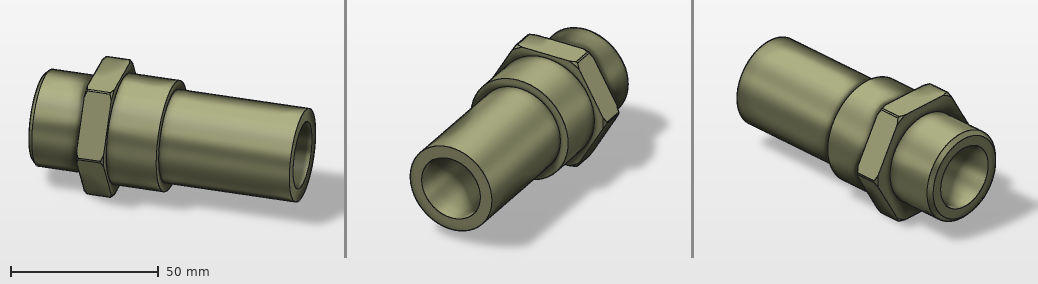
import cadquery as cq
import math

total_length = 92.0
hex_start = 18.95
hex_width = 9.5
collar_end = 46.0
hex_end = hex_start + hex_width

thread_diameter = 33.2
collar_diameter = 38.1
tube_diameter = 32.0
bore_diameter = 23.0
thread_chamfer = 1.5

hex_across_flats = 41.0
hex_corner_diameter = 47.0
hex_chamfer_length = 0.7
hex_chamfer_depth = 1.0


def cylinder(diameter, start, end):
    """Cylinder along X between two axial stations."""
    return cq.Workplane("YZ", origin=(start, 0, 0)).circle(diameter / 2).extrude(end - start)


def hexagon():
    """Wrench hexagon with conical chamfers trimming both ends of its corners."""
    across_corners = hex_across_flats / math.cos(math.pi / 6)
    prism = cq.Workplane("YZ", origin=(hex_start, 0, 0)).polygon(6, across_corners).extrude(hex_width)
    corner_radius = hex_corner_diameter / 2
    face_radius = corner_radius - hex_chamfer_depth
    turned_envelope = (
        cq.Workplane("XY")
        .moveTo(hex_start, 0)
        .lineTo(hex_start, face_radius)
        .lineTo(hex_start + hex_chamfer_length, corner_radius)
        .lineTo(hex_end - hex_chamfer_length, corner_radius)
        .lineTo(hex_end, face_radius)
        .lineTo(hex_end, 0)
        .close()
        .revolve(360, (0, 0, 0), (1, 0, 0))
    )
    return prism.intersect(turned_envelope)


thread_end = cylinder(thread_diameter, 0, hex_start).faces("<X").chamfer(thread_chamfer)
collar = cylinder(collar_diameter, hex_end, collar_end)
tube = cylinder(tube_diameter, collar_end, total_length)
bore = cylinder(bore_diameter, 0, total_length)

result = thread_end.union(hexagon()).union(collar).union(tube).cut(bore)